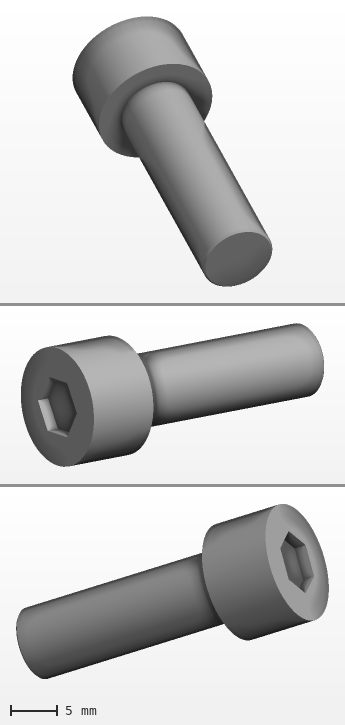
import cadquery as cq
import math

total_length = 33.0
head_diameter = 13.0
head_length = 8.0
shank_diameter = 8.0
tip_chamfer = 0.215

socket_across_flats = 6.0
socket_depth = 1.4
socket_across_corners = socket_across_flats / math.cos(math.radians(30))


def make_screw_body():
    """Head and shank, with a small chamfer around the tip of the shank."""
    head = cq.Workplane("YZ").circle(head_diameter / 2).extrude(head_length)
    shank = (
        cq.Workplane("YZ")
        .circle(shank_diameter / 2)
        .extrude(total_length)
        .faces(">X")
        .chamfer(tip_chamfer)
    )
    return head.union(shank)


def make_socket():
    """Hexagonal key socket with two corners pointing along Y."""
    return cq.Workplane("YZ").polygon(6, socket_across_corners).extrude(socket_depth)


result = make_screw_body().cut(make_socket())